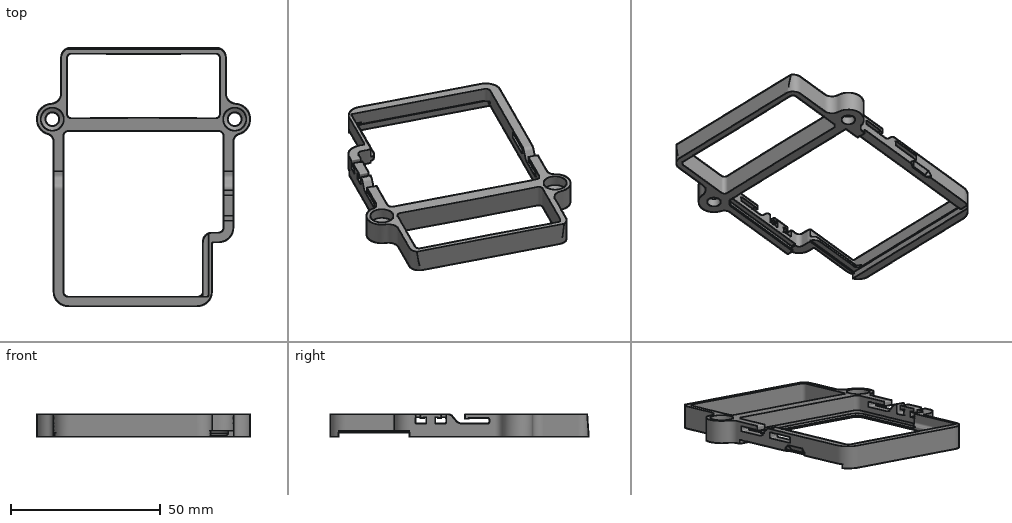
import cadquery as cq
import math

HEIGHT = 7.6
LENGTH = 86.3
COS_45 = math.sqrt(0.5)
OVER = 0.9

LOWER_HALF = 30.0
LOWER_CORNER = 5.0
SIDE_WALL = 3.4
FRONT_WALL = 3.2
INNER_CORNER = 1.6
INNER_HALF = LOWER_HALF - SIDE_WALL
CROSSBAR_Y = 58.4
CROSSBAR = 4.3

STEP_OUT_X = 22.9
STEP_IN_X = 19.8
STEP_OUT_Y = 21.3
STEP_IN_Y = 24.6
STEP_IN_CORNER = 3.2
STEP_FILLET = 0.5

UPPER_HALF = 27.5
UPPER_WALL = 2.1
UPPER_CORNER = 3.45
UPPER_INNER_CORNER = 1.4
UPPER_INNER_HALF = UPPER_HALF - UPPER_WALL
UPPER_OPEN_FRONT = CROSSBAR_Y + CROSSBAR
UPPER_OPEN_BACK = 84.2
CROWN = 0.2
BACK_LEAN = 0.5

BOSS_R = 5.2
BOSS_X = 71.2 / 2 - BOSS_R
BOSS_Y = 62.4
HOLE_D = 4.5
HEAD_D = 7.7
HEAD_DEPTH = 3.5
HEAD_SEAT = 0.8
BOSS_UPPER_FILLET = 3.45
BOSS_LOWER_FILLET = 2.6

COVER_FRONT = 2.85
COVER_RIGHT = 28.3
COVER_BACK = 60.1
COVER_CORNER = 3.4
LEFT_CUT_BACK = 53.8
LIP = 0.56
GROOVE_TOP = 2.6
STEP_CUT = 2.0
LEFT_CUT = 1.4
RIGHT_END_Y = 26.4

LEDGE_Z = 4.05
LEDGE_ROUND = 0.56
LEDGE_FLAT = 0.56
LEDGE_HOLLOW = 0.82
LEDGE_WALL_X = STEP_IN_X + LEDGE_ROUND + LEDGE_FLAT + LEDGE_HOLLOW

SLOT_FLOOR = 4.5
ARM_THICK = 1.4
ARM_UNDER = HEIGHT - ARM_THICK
ARM_ROOT_Y = 53.1
ARM_TIP_Y = 45.0
ARM_ROUND = 0.4
HOOK_LENGTH = 1.2
HOOK_DROP = 0.3
RAMP_LOW_Y = 42.8
RAMP_HIGH_Y = 40.1
RAMP_ROUND = 2.2
WINDOW_Y = 33.6
WINDOW_HALF = 5.1
WINDOW_TOP = 6.5
WINDOW_CORNER = 0.35
TEE_HALF = 3.45
POST_HALF = 1.55
GAP_ROUND = 0.39

SCOOP_Y = 26.0
SCOOP_HALF = 4.9
SCOOP_TOP = 3.6
SCOOP_DEPTH = 0.95
SCOOP_SLOPE = 60
SCOOP_BEVEL = 1.4


def box(x0, x1, y0, y1, z0, z1):
    return cq.Workplane("XY").box(x1 - x0, y1 - y0, z1 - z0, centered=False).translate((x0, y0, z0))


def round_upright(body, x, y, radius):
    """Round the vertical edge that stands at (x, y)."""
    reach = 0.3
    near = cq.selectors.BoxSelector((x - reach, y - reach, -OVER), (x + reach, y + reach, HEIGHT + OVER))
    return body.edges("|Z").edges(near).fillet(radius)


def side_prism(points, x0, x1):
    """Extrude a (Y, Z) outline along X from x0 to x1."""
    return cq.Workplane("YZ", origin=(x0, 0, 0)).polyline(points).close().extrude(x1 - x0)


def outer_body():
    lower = (
        cq.Workplane("XY")
        .polyline([
            (-LOWER_HALF, 0), (STEP_OUT_X, 0), (STEP_OUT_X, STEP_OUT_Y),
            (LOWER_HALF, STEP_OUT_Y), (LOWER_HALF, BOSS_Y), (-LOWER_HALF, BOSS_Y),
        ])
        .close().extrude(HEIGHT)
    )
    for x, y in [(-LOWER_HALF, 0), (STEP_OUT_X, 0), (LOWER_HALF, STEP_OUT_Y)]:
        lower = round_upright(lower, x, y, LOWER_CORNER)
    lower = round_upright(lower, STEP_OUT_X, STEP_OUT_Y, STEP_FILLET)

    upper = box(-UPPER_HALF, UPPER_HALF, CROSSBAR_Y, LENGTH, 0, HEIGHT)
    for side in (-1, 1):
        upper = round_upright(upper, side * UPPER_HALF, LENGTH, UPPER_CORNER)
    behind = [(LENGTH, 0), (LENGTH - BACK_LEAN, HEIGHT), (LENGTH + OVER, HEIGHT), (LENGTH + OVER, 0)]
    upper = upper.cut(side_prism(behind, -LOWER_HALF, LOWER_HALF))

    body = lower.union(upper)
    for side in (-1, 1):
        body = body.union(cq.Workplane("XY").center(side * BOSS_X, BOSS_Y).circle(BOSS_R).extrude(HEIGHT))
    upper_meet = BOSS_Y + math.sqrt(BOSS_R**2 - (BOSS_X - UPPER_HALF)**2)
    lower_meet = BOSS_Y - math.sqrt(BOSS_R**2 - (BOSS_X - LOWER_HALF)**2)
    for side in (-1, 1):
        body = round_upright(body, side * UPPER_HALF, upper_meet, BOSS_UPPER_FILLET)
        body = round_upright(body, side * LOWER_HALF, lower_meet, BOSS_LOWER_FILLET)
    return body


def lower_opening():
    corners = [
        (-INNER_HALF, FRONT_WALL), (STEP_IN_X, FRONT_WALL), (STEP_IN_X, STEP_IN_Y),
        (INNER_HALF, STEP_IN_Y), (INNER_HALF, CROSSBAR_Y), (-INNER_HALF, CROSSBAR_Y),
    ]
    opening = cq.Workplane("XY").polyline(corners).close().extrude(HEIGHT)
    for x, y in corners:
        radius = STEP_IN_CORNER if (x, y) == (STEP_IN_X, STEP_IN_Y) else INNER_CORNER
        opening = round_upright(opening, x, y, radius)
    return opening


def upper_opening():
    opening = (
        cq.Workplane("XY")
        .polyline([
            (-UPPER_INNER_HALF, UPPER_OPEN_FRONT), (0, UPPER_OPEN_FRONT + CROWN),
            (UPPER_INNER_HALF, UPPER_OPEN_FRONT), (UPPER_INNER_HALF, UPPER_OPEN_BACK),
            (0, UPPER_OPEN_BACK - CROWN), (-UPPER_INNER_HALF, UPPER_OPEN_BACK),
        ])
        .close().extrude(HEIGHT)
    )
    for side in (-1, 1):
        for y in (UPPER_OPEN_FRONT, UPPER_OPEN_BACK):
            opening = round_upright(opening, side * UPPER_INNER_HALF, y, UPPER_INNER_CORNER)
    return opening


def screw_hole(x):
    """Through hole with a deep head bore and a conical seat, as one turned cutter."""
    seat_top = HEIGHT - HEAD_DEPTH
    seat_bottom = seat_top - HEAD_SEAT
    return (
        cq.Workplane("XZ")
        .polyline([
            (0, -OVER), (HOLE_D / 2, -OVER), (HOLE_D / 2, seat_bottom), (HEAD_D / 2, seat_top),
            (HEAD_D / 2, HEIGHT + OVER), (0, HEIGHT + OVER),
        ])
        .close().revolve(360, (0, 0, 0), (0, 1, 0)).translate((x, BOSS_Y, 0))
    )


def cover_outline(z, inset):
    """Closed cover outline at height z, moved in by inset along the right and back."""
    left = -LOWER_HALF
    right = COVER_RIGHT - inset
    back = COVER_BACK - inset
    corner = COVER_CORNER - inset
    diagonal = corner * (1 - COS_45)
    return (
        cq.Workplane("XY", origin=(0, 0, z))
        .moveTo(left, COVER_FRONT).lineTo(right, COVER_FRONT).lineTo(right, back - corner)
        .threePointArc((right - diagonal, back - diagonal), (right - corner, back))
        .lineTo(left, back)
        .close()
    )


def cover_recess():
    mouth = cover_outline(0, LIP).extrude(LIP)
    bevel_wires = [cover_outline(LIP, LIP).val(), cover_outline(2 * LIP, 0).val()]
    bevel = cq.Workplane(cq.Solid.makeLoft(bevel_wires, True))
    groove = cover_outline(2 * LIP, 0).extrude(GROOVE_TOP - 2 * LIP)
    left_wall = box(-LOWER_HALF, -INNER_HALF, 0, LENGTH, LEFT_CUT, HEIGHT)
    left_back = box(-LOWER_HALF, -INNER_HALF, LEFT_CUT_BACK, LENGTH, 0, HEIGHT)
    front_part = box(LEDGE_WALL_X, LOWER_HALF, 0, RIGHT_END_Y, STEP_CUT, HEIGHT)
    side_passage = box(0, LOWER_HALF + OVER, COVER_FRONT, RIGHT_END_Y, -OVER, STEP_CUT)
    recess = mouth.union(bevel).union(groove).cut(left_wall).cut(left_back).cut(front_part)
    return recess.union(side_passage)


def ledge_hollow():
    """Space above the ledge: rounded nose, short flat, then a hollow up into the thin wall."""
    nose = STEP_IN_X
    flat_start = nose + LEDGE_ROUND
    flat_end = flat_start + LEDGE_FLAT
    clear = nose - INNER_CORNER - OVER
    return (
        cq.Workplane("XZ", origin=(0, STEP_IN_Y + OVER, 0))
        .moveTo(clear, LEDGE_Z - LEDGE_ROUND).lineTo(nose, LEDGE_Z - LEDGE_ROUND)
        .threePointArc(
            (flat_start - LEDGE_ROUND * COS_45, LEDGE_Z - LEDGE_ROUND * (1 - COS_45)),
            (flat_start, LEDGE_Z))
        .lineTo(flat_end, LEDGE_Z)
        .threePointArc(
            (flat_end + LEDGE_HOLLOW * COS_45, LEDGE_Z + LEDGE_HOLLOW * (1 - COS_45)),
            (LEDGE_WALL_X, LEDGE_Z + LEDGE_HOLLOW))
        .lineTo(LEDGE_WALL_X, HEIGHT + OVER).lineTo(clear, HEIGHT + OVER)
        .close().extrude(STEP_IN_Y + OVER - FRONT_WALL)
        .edges("|Z and >X and <Y").fillet(STEP_FILLET)
    )


def round_lengthwise(body, y, z, radius):
    """Round the edge along X that passes through (y, z)."""
    reach = 0.1
    near = cq.selectors.BoxSelector(
        (-LENGTH, y - reach, z - reach), (LENGTH, y + reach, z + reach))
    return body.edges("|X").edges(near).fillet(radius)


def snap_slot(x0, x1):
    """Slot that frees a hooked snap arm, opening to the top in a rounded ramp."""
    hook_y = ARM_TIP_Y + HOOK_LENGTH
    hook_z = ARM_UNDER - HOOK_DROP
    slot = side_prism([
        (ARM_ROOT_Y, SLOT_FLOOR), (RAMP_LOW_Y, SLOT_FLOOR), (RAMP_HIGH_Y, HEIGHT),
        (RAMP_HIGH_Y - RAMP_ROUND, HEIGHT), (RAMP_HIGH_Y - RAMP_ROUND, HEIGHT + OVER),
        (ARM_TIP_Y + OVER, HEIGHT + OVER), (ARM_TIP_Y + OVER, HEIGHT), (ARM_TIP_Y, HEIGHT),
        (ARM_TIP_Y, hook_z), (hook_y, hook_z), (hook_y, ARM_UNDER), (ARM_ROOT_Y, ARM_UNDER),
    ], x0, x1)
    slot = round_lengthwise(slot, RAMP_LOW_Y, SLOT_FLOOR, RAMP_ROUND)
    slot = round_lengthwise(slot, RAMP_HIGH_Y, HEIGHT, RAMP_ROUND)
    slot = round_lengthwise(slot, ARM_TIP_Y, HEIGHT, ARM_ROUND)
    for z in (SLOT_FLOOR, ARM_UNDER):
        slot = round_lengthwise(slot, ARM_ROOT_Y, z, ARM_ROUND)
    return slot


def window(x0, x1):
    opening = box(x0, x1, WINDOW_Y - WINDOW_HALF, WINDOW_Y + WINDOW_HALF, SLOT_FLOOR, WINDOW_TOP)
    return opening.edges("|X").fillet(WINDOW_CORNER)


def open_window(x0, x1):
    """Window open to the top, with a T-shaped post with hooked ends left standing in it."""
    edge = WINDOW_HALF
    opening = side_prism([
        (WINDOW_Y - edge, SLOT_FLOOR), (WINDOW_Y + edge, SLOT_FLOOR), (WINDOW_Y + edge, HEIGHT),
        (WINDOW_Y + edge + ARM_ROUND, HEIGHT), (WINDOW_Y + edge + ARM_ROUND, HEIGHT + OVER),
        (WINDOW_Y - edge - ARM_ROUND, HEIGHT + OVER), (WINDOW_Y - edge - ARM_ROUND, HEIGHT),
        (WINDOW_Y - edge, HEIGHT),
    ], x0, x1)
    tee = box(x0, x1, WINDOW_Y - TEE_HALF, WINDOW_Y + TEE_HALF, WINDOW_TOP, HEIGHT)
    tee = tee.edges("|X and >Z").fillet(ARM_ROUND)
    tee = tee.union(box(x0, x1, WINDOW_Y - POST_HALF, WINDOW_Y + POST_HALF, SLOT_FLOOR, WINDOW_TOP))
    for side in (-1, 1):
        opening = round_lengthwise(opening, WINDOW_Y + side * edge, HEIGHT, GAP_ROUND)
        opening = round_lengthwise(opening, WINDOW_Y + side * edge, SLOT_FLOOR, WINDOW_CORNER)
        hook_y = WINDOW_Y + side * (TEE_HALF - HOOK_LENGTH / 2)
        tee = tee.union(box(x0, x1, hook_y - HOOK_LENGTH / 2, hook_y + HOOK_LENGTH / 2,
                            WINDOW_TOP - HOOK_DROP, WINDOW_TOP))
    return opening.cut(tee)


def thumb_scoop():
    """Dish with bevelled corners in its outline and gently sloping sides."""
    bottom = LEFT_CUT - SCOOP_HALF
    outline = [
        (SCOOP_Y + SCOOP_HALF, bottom), (SCOOP_Y + SCOOP_HALF, SCOOP_TOP - SCOOP_BEVEL),
        (SCOOP_Y + SCOOP_HALF - SCOOP_BEVEL, SCOOP_TOP), (SCOOP_Y - SCOOP_HALF + SCOOP_BEVEL, SCOOP_TOP),
        (SCOOP_Y - SCOOP_HALF, SCOOP_TOP - SCOOP_BEVEL), (SCOOP_Y - SCOOP_HALF, bottom),
    ]
    dish = cq.Workplane("YZ", origin=(-LOWER_HALF, 0, 0)).polyline(outline).close()
    dish = dish.extrude(SCOOP_DEPTH, taper=SCOOP_SLOPE)
    return dish.cut(box(-LOWER_HALF - OVER, 0, 0, LENGTH, bottom - OVER, LEFT_CUT))


result = outer_body().cut(lower_opening()).cut(upper_opening())
for side in (-1, 1):
    result = result.cut(screw_hole(side * BOSS_X))
result = result.cut(cover_recess()).cut(ledge_hollow()).cut(thumb_scoop())

left_span = (-LOWER_HALF - OVER, -INNER_HALF + OVER)
right_span = (INNER_HALF - OVER, LOWER_HALF + OVER)
for span in (left_span, right_span):
    result = result.cut(snap_slot(*span))
result = result.cut(window(*left_span)).cut(open_window(*right_span))